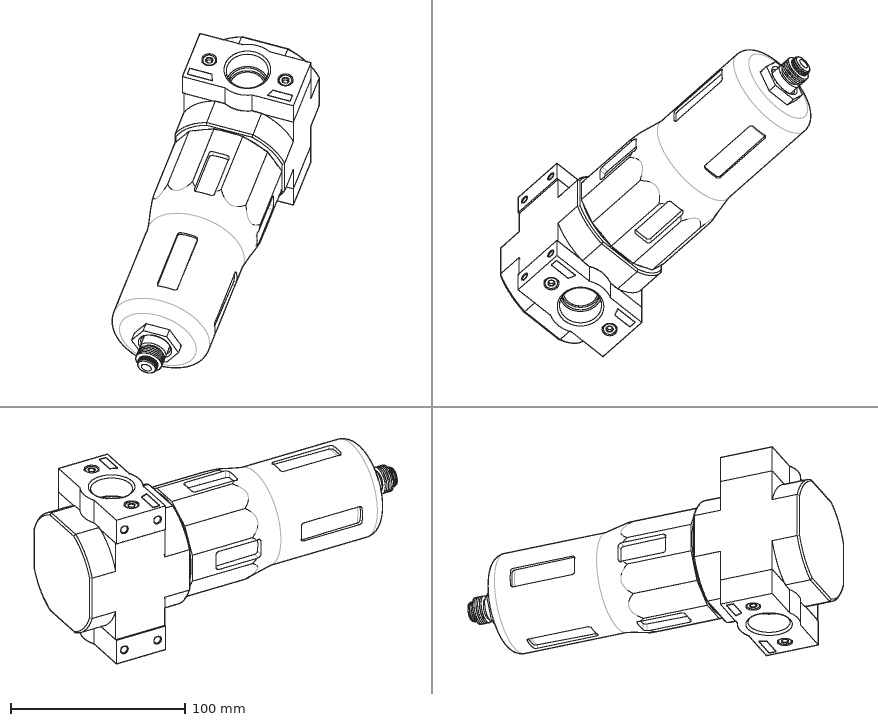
import cadquery as cq
import math


HOUSING_WIDTH = 66.2
HOUSING_HEIGHT = 65.8
HOUSING_BACK_Y = 32.9
HOUSING_FRONT_Y = -33.5
HOUSING_CORNER_DIAMETER = 71.5
HOUSING_END_CHAMFER = 1.0
HOUSING_BORE = 20.0

PLATE_THICKNESS = 15.8
PLATE_SEAT_DEPTH = 0.7
PLATE_LENGTH = 32.5
PLATE_OVERHANG = 0.9
PORT_BOSS_DIAMETER = 36.5
PORT_DIAMETER = 24.1
PORT_CHAMFER = 1.3
PORT_DEPTH = 13.2
PORT_STEP_DIAMETER = 22.0

TAPPED_DIAMETER = 4.2
TAPPED_MOUTH_DIAMETER = 5.0
TAPPED_DEPTH = 5.5
TAPPED_SPACING = 22.0
TAPPED_Z = 40.1
DRILL_POINT_ANGLE = 118.0

SCREW_SPACING = 46.0
SCREW_SEAT_DIAMETER = 8.5
SCREW_HEAD_DIAMETER = 7.2
SCREW_SEAT_DEPTH = 5.5
SCREW_HEAD_DROP = 0.5
SOCKET_MOUTH_DIAMETER = 4.2
SOCKET_DIAMETER = 3.5
SOCKET_DEPTH = 2.2

LABEL_DEPTH = 0.2
LABEL_FRONT_Y = -13.5
LABEL_BACK_Y = -9.2
LABEL_INNER_X = 16.7
LABEL_SLANT = 1.8
LEFT_LABEL_OUTER_X = -31.8
RIGHT_LABEL_OUTER_X = 30.3

GUARD_GAP = 1.3
GUARD_NECK_DIAMETER = 62.0
GRIP_SIDES = 12
GRIP_ACROSS_FLATS = 64.7
GRIP_END_Y = -74.8
BARREL_START_Y = -95.1
BARREL_DIAMETER = 58.8
GUARD_END_Y = -165.0
GUARD_END_FILLET = 6.1

WINDOW_WIDTH = 12.0
WINDOW_CORNER = 1.8
WINDOW_COUNT = 4
WINDOW_SPANS = [(-80.5, -50.6), (-149.0, -109.0)]

BOWL_TOP_DIAMETER = 58.3
BOWL_BOTTOM_DIAMETER = 54.4
BOWL_FILLET_START_Y = -147.3
BOWL_FILLET = 11.0
OUTLET_DIAMETER = 22.0
HEX_ACROSS_FLATS = 24.5
HEX_THICKNESS = 5.3
HEX_BORE = 18.0
HEX_BORE_CHAMFER = 1.0

DRAIN_DIAMETER = 15.8
DRAIN_COLLAR_END_Y = -174.3
DRAIN_CORE_DIAMETER = 11.6
RIB_COUNT = 3
RIB_START_Y = -176.0
RIB_PITCH = 2.2
RIB_CREST_WIDTH = 1.0
RIB_BASE_WIDTH = 2.0
TIP_GROOVE_DIAMETER = 11.0
TIP_GROOVE_START_Y = -182.6
TIP_RING_START_Y = -183.7
TIP_RING_WIDTH = 1.0
TIP_RING_DIAMETER = 11.8
NOSE_DIAMETER = 10.7
NOSE_DROP = 0.5
DRAIN_END_Y = -186.3
DRAIN_HOLE = 6.0
DRAIN_HOLE_DEPTH = 11.0

PLATE_SEAT_Z = HOUSING_HEIGHT / 2 - PLATE_SEAT_DEPTH
PLATE_FACE_Z = PLATE_SEAT_Z + PLATE_THICKNESS
PLATE_LEFT_X = -HOUSING_WIDTH / 2 - PLATE_OVERHANG
HEX_FACE_Y = GUARD_END_Y - HEX_THICKNESS


def turned(points, plane="XY"):
    """Solid of revolution from a closed outline of (radius, height) points: about Y, or about Z on "XZ"."""
    return cq.Workplane(plane).polyline(points).close().revolve(360, (0, 0), (0, 1))


def prism_along_y(sides, across_flats, start_y, end_y, turn):
    """Regular prism about the Y axis, turned about it by the given angle."""
    across_corners = across_flats / math.cos(math.pi / sides)
    prism = cq.Workplane("XZ", origin=(0, start_y, 0)).polygon(sides, across_corners)
    return prism.extrude(start_y - end_y).rotate((0, 0, 0), (0, 1, 0), turn)


def drilled_hole(diameter, mouth_diameter, depth):
    """Cutter for a drilled hole with a chamfered mouth at the origin, going down along -Z."""
    radius = diameter / 2
    mouth_radius = mouth_diameter / 2
    point_depth = radius / math.tan(math.radians(DRILL_POINT_ANGLE / 2))
    outline = [
        (0, 0),
        (mouth_radius, 0),
        (radius, radius - mouth_radius),
        (radius, -depth),
        (0, -depth - point_depth),
    ]
    return turned(outline, "XZ")


def plate_blank():
    """Upper plate outline with the round port boss, without its holes."""
    base = cq.Workplane("XY", origin=(0, 0, PLATE_SEAT_Z))
    plate_width = HOUSING_WIDTH + PLATE_OVERHANG
    slab = base.center(-PLATE_OVERHANG / 2, 0).rect(plate_width, PLATE_LENGTH).extrude(PLATE_THICKNESS)
    boss = base.circle(PORT_BOSS_DIAMETER / 2).extrude(PLATE_THICKNESS)
    return slab.union(boss)


def make_housing():
    """Round-cornered housing, squared between the plates, with a bore along the port axis."""
    end_plane = cq.Workplane("XZ", origin=(0, HOUSING_BACK_Y, 0))
    length = HOUSING_BACK_Y - HOUSING_FRONT_Y
    corner_round = end_plane.circle(HOUSING_CORNER_DIAMETER / 2).extrude(length)
    body = end_plane.rect(HOUSING_WIDTH, HOUSING_HEIGHT).extrude(length).intersect(corner_round)
    body = body.faces("<Y or >Y").chamfer(HOUSING_END_CHAMFER)
    block = cq.Workplane("XY").box(HOUSING_WIDTH, PLATE_LENGTH, 2 * PLATE_SEAT_Z)
    bore = cq.Workplane("XY").circle(HOUSING_BORE / 2).extrude(HOUSING_HEIGHT, both=True)
    seat = plate_blank()
    return body.union(block).cut(seat).cut(seat.mirror("XY")).cut(bore)


def port_cutter():
    """Stepped port bore of the upper plate, with a chamfered mouth."""
    radius = PORT_DIAMETER / 2
    step_radius = PORT_STEP_DIAMETER / 2
    outline = [
        (0, PLATE_FACE_Z),
        (radius + PORT_CHAMFER, PLATE_FACE_Z),
        (radius, PLATE_FACE_Z - PORT_CHAMFER),
        (radius, PLATE_FACE_Z - PORT_DEPTH),
        (step_radius, PLATE_FACE_Z - PORT_DEPTH),
        (step_radius, PLATE_SEAT_Z),
        (0, PLATE_SEAT_Z),
    ]
    return turned(outline, "XZ")


def label_cutter(side, outer_x):
    """Shallow label recess with a slanted inner end, on the given side (-1 or 1) of the port."""
    inner_x = side * LABEL_INNER_X
    outline = [
        (outer_x, LABEL_FRONT_Y),
        (inner_x, LABEL_FRONT_Y),
        (inner_x + side * LABEL_SLANT, LABEL_BACK_Y),
        (outer_x, LABEL_BACK_Y),
    ]
    return cq.Workplane("XY", origin=(0, 0, PLATE_FACE_Z)).polyline(outline).close().extrude(-LABEL_DEPTH)


def make_upper_plate():
    """Port plate with its port, screw seats, tapped holes and label recesses."""
    plate = plate_blank().cut(port_cutter())
    for side in (-1, 1):
        seat = cq.Workplane("XY", origin=(side * SCREW_SPACING / 2, 0, PLATE_FACE_Z))
        plate = plate.cut(seat.circle(SCREW_SEAT_DIAMETER / 2).extrude(-SCREW_SEAT_DEPTH))
        tapped = drilled_hole(TAPPED_DIAMETER, TAPPED_MOUTH_DIAMETER, TAPPED_DEPTH)
        tapped = tapped.rotate((0, 0, 0), (0, 1, 0), -90)
        plate = plate.cut(tapped.translate((PLATE_LEFT_X, side * TAPPED_SPACING / 2, TAPPED_Z)))

    plate = plate.cut(label_cutter(-1, LEFT_LABEL_OUTER_X))
    return plate.cut(label_cutter(1, RIGHT_LABEL_OUTER_X))


def make_screw(x):
    """Socket screw in the upper plate, standing on the floor of its seat."""
    head_z = PLATE_FACE_Z - SCREW_HEAD_DROP
    floor_z = PLATE_FACE_Z - SCREW_SEAT_DEPTH
    floor = cq.Workplane("XY", origin=(x, 0, floor_z))
    head = floor.circle(SCREW_HEAD_DIAMETER / 2).extrude(head_z - floor_z)
    socket = drilled_hole(SOCKET_DIAMETER, SOCKET_MOUTH_DIAMETER, SOCKET_DEPTH)
    return head.cut(socket.translate((x, 0, head_z)))


def make_bowl_core():
    """Tapered bowl with a rounded foot and an outlet neck that passes through the guard's end."""
    top_radius = BOWL_TOP_DIAMETER / 2
    bottom_radius = BOWL_BOTTOM_DIAMETER / 2
    bottom_y = BOWL_FILLET_START_Y - BOWL_FILLET
    fillet_middle = (
        bottom_radius - BOWL_FILLET * (1 - math.cos(math.pi / 4)),
        BOWL_FILLET_START_Y - BOWL_FILLET * math.sin(math.pi / 4),
    )
    outline = cq.Workplane("XY").moveTo(0, HOUSING_FRONT_Y).lineTo(top_radius, HOUSING_FRONT_Y)
    outline = outline.lineTo(bottom_radius, BOWL_FILLET_START_Y)
    outline = outline.threePointArc(fillet_middle, (bottom_radius - BOWL_FILLET, bottom_y))
    outline = outline.lineTo(OUTLET_DIAMETER / 2, bottom_y).lineTo(OUTLET_DIAMETER / 2, GUARD_END_Y)
    return outline.lineTo(0, GUARD_END_Y).close().revolve(360, (0, 0), (0, 1))


def make_outlet_hex():
    """Hexagon at the foot of the bowl, with a chamfered recess for the drain."""
    hexagon = prism_along_y(6, HEX_ACROSS_FLATS, GUARD_END_Y, HEX_FACE_Y, 0)
    radius = HEX_BORE / 2
    recess = turned([
        (0, GUARD_END_Y),
        (radius, GUARD_END_Y),
        (radius, HEX_FACE_Y + HEX_BORE_CHAMFER),
        (radius + HEX_BORE_CHAMFER, HEX_FACE_Y),
        (0, HEX_FACE_Y),
    ])
    return hexagon.cut(recess)


def make_guard(bowl_cavity):
    """Guard with a faceted grip, hollowed to fit the bowl and opened by two rings of windows."""
    neck_radius = GUARD_NECK_DIAMETER / 2
    barrel_radius = BARREL_DIAMETER / 2
    grip_radius = GRIP_ACROSS_FLATS / 2 / math.cos(math.pi / GRIP_SIDES)
    grip_start_y = HOUSING_FRONT_Y - GUARD_GAP
    outline = cq.Workplane("XY").moveTo(0, HOUSING_FRONT_Y).lineTo(neck_radius, HOUSING_FRONT_Y)
    outline = outline.lineTo(neck_radius, grip_start_y).lineTo(grip_radius, grip_start_y)
    outline = outline.lineTo(grip_radius, GRIP_END_Y).lineTo(barrel_radius, BARREL_START_Y)
    outline = outline.lineTo(barrel_radius, GUARD_END_Y).lineTo(0, GUARD_END_Y).close()
    guard = outline.revolve(360, (0, 0), (0, 1)).faces("<Y").edges().fillet(GUARD_END_FILLET)

    half_facet = 180 / GRIP_SIDES
    facets = prism_along_y(GRIP_SIDES, GRIP_ACROSS_FLATS, HOUSING_FRONT_Y, GUARD_END_Y, half_facet)
    guard = guard.intersect(facets).cut(bowl_cavity)

    for front_y, back_y in WINDOW_SPANS:
        window = cq.Workplane("XY").box(WINDOW_WIDTH, back_y - front_y, GRIP_ACROSS_FLATS)
        window = window.edges("|Z").fillet(WINDOW_CORNER)
        window = window.translate((0, (front_y + back_y) / 2, GRIP_ACROSS_FLATS / 2))
        for number in range(WINDOW_COUNT):
            guard = guard.cut(window.rotate((0, 0, 0), (0, 1, 0), number * 360 / WINDOW_COUNT))
    return guard


def make_drain():
    """Ribbed drain stem standing in the recess of the outlet hexagon."""
    collar_radius = DRAIN_DIAMETER / 2
    core_radius = DRAIN_CORE_DIAMETER / 2
    groove_radius = TIP_GROOVE_DIAMETER / 2
    ring_radius = TIP_RING_DIAMETER / 2
    nose_radius = NOSE_DIAMETER / 2
    hole_radius = DRAIN_HOLE / 2
    flank = (RIB_BASE_WIDTH - RIB_CREST_WIDTH) / 2
    outline = [
        (0, GUARD_END_Y),
        (collar_radius, GUARD_END_Y),
        (collar_radius, DRAIN_COLLAR_END_Y),
        (core_radius, DRAIN_COLLAR_END_Y),
    ]
    for number in range(RIB_COUNT):
        rib_y = RIB_START_Y - number * RIB_PITCH
        outline += [
            (core_radius, rib_y),
            (collar_radius, rib_y - flank),
            (collar_radius, rib_y - flank - RIB_CREST_WIDTH),
            (core_radius, rib_y - RIB_BASE_WIDTH),
        ]
    outline += [
        (core_radius, TIP_GROOVE_START_Y),
        (groove_radius, TIP_GROOVE_START_Y),
        (groove_radius, TIP_RING_START_Y),
        (ring_radius, TIP_RING_START_Y),
        (ring_radius, TIP_RING_START_Y - TIP_RING_WIDTH),
        (nose_radius, TIP_RING_START_Y - TIP_RING_WIDTH),
        (nose_radius, DRAIN_END_Y + NOSE_DROP),
        (hole_radius, DRAIN_END_Y),
        (hole_radius, DRAIN_END_Y + DRAIN_HOLE_DEPTH),
        (0, DRAIN_END_Y + DRAIN_HOLE_DEPTH),
    ]
    return turned(outline)


housing = make_housing()
upper_plate = make_upper_plate()
lower_plate = upper_plate.mirror("XY")

screws = []
for screw_x in (-SCREW_SPACING / 2, SCREW_SPACING / 2):
    upper_screw = make_screw(screw_x)
    screws += [upper_screw.val(), upper_screw.mirror("XY").val()]

bowl_core = make_bowl_core()
guard = make_guard(bowl_core)
bowl = bowl_core.union(make_outlet_hex())
drain = make_drain()

result = cq.Compound.makeCompound([
    housing.val(), upper_plate.val(), lower_plate.val(), *screws, guard.val(), bowl.val(), drain.val(),
])